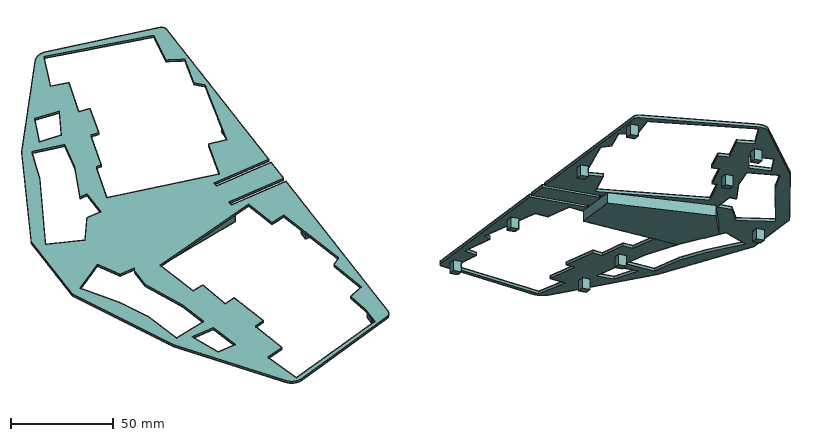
import cadquery as cq

plate_thickness = 1.5
plate_half_depth = 63.5
shoulder_x = 109.2
waist_x = 125.0
waist_y = 0.5
hip_x = 73.5
hip_y = -37.7
toe_x = 19.8
shoulder_radius = 3.0
waist_radius = 7.5

slot_offset = 7.2
slot_width = 2.2
slot_end_y = 32.8

drop = 5.5

block_back_y = 32.0
block_back_half_width = 13.5
block_side_y = -22.8
block_side_half_width = 21.3
block_point_y = -35.0

foot_side = 4.2
foot_centers = [
    (-98.0, 59.8), (-38.7, 57.8), (38.5, 57.8), (102.0, 57.8),
    (-95.0, -8.7), (-58.3, -11.0), (59.8, -11.0), (95.5, -8.7),
    (-0.5, -56.0),
]

left_main_window = [
    (-106.7, 56.0), (-89.8, 53.0), (-85.5, 61.3), (-70.0, 57.3), (-66.0, 61.3), (-29.8, 52.4),
    (-31.8, 43.2), (-12.2, 38.0), (-26.3, -17.0), (-46.5, -11.5), (-46.2, -8.7), (-65.8, -3.2),
    (-65.0, 1.0), (-81.0, 5.2), (-82.0, -0.5), (-100.7, 5.0), (-103.2, -4.0), (-121.5, 3.0),
]
right_main_window = [
    (12.2, 40.2), (28.3, 44.0), (27.0, 51.4), (64.5, 60.3), (67.2, 56.0), (86.5, 60.3),
    (89.3, 52.5), (100.5, 54.5), (109.5, 54.5), (122.0, 3.0), (103.5, -2.2), (101.5, 7.0),
    (82.9, 2.7), (81.6, 8.0), (61.5, 3.2), (62.8, -2.5), (46.6, -5.7), (47.6, -11.7), (25.0, -17.0),
]
left_small_window = [(-86.8, -8.7), (-73.0, -15.6), (-74.5, -27.0), (-88.8, -21.3)]
right_small_window = [(73.5, -15.5), (88.3, -11.7), (88.3, -21.3), (73.5, -27.3)]
left_thumb_window = [
    (-66.7, -17.4), (-51.4, -20.5), (-33.2, -28.3), (-33.2, -24.3), (-19.8, -24.3),
    (-19.8, -32.3), (-7.7, -40.5), (-15.0, -58.3), (-53.5, -39.0), (-70.7, -33.5),
]
right_thumb_window = [
    (20.3, -28.8), (21.8, -29.8), (32.3, -29.8), (53.0, -20.8), (67.5, -17.4), (70.2, -34.2),
    (51.4, -39.0), (36.2, -46.5), (18.4, -58.3), (9.2, -43.2), (20.3, -37.0),
]
windows = [
    left_main_window, right_main_window,
    left_small_window, right_small_window,
    left_thumb_window, right_thumb_window,
]


def prism(corners, height):
    """Straight-sided solid standing on Z = 0; a negative height hangs below it."""
    return cq.Workplane("XY").polyline(corners).close().extrude(height)


def mirrored_outline(right_half):
    """Closed outline from its right half, listed from back to front."""
    left_half = [(-x, y) for x, y in reversed(right_half) if x > 0]
    return right_half + left_half


def make_plate():
    right_half = [
        (shoulder_x, plate_half_depth),
        (waist_x, waist_y),
        (hip_x, hip_y),
        (toe_x, -plate_half_depth),
    ]
    plate = prism(mirrored_outline(right_half), plate_thickness)
    for side in (-1, 1):
        shoulder = cq.selectors.NearestToPointSelector(
            (side * shoulder_x, plate_half_depth, plate_thickness / 2))
        plate = plate.edges("|Z").edges(shoulder).fillet(shoulder_radius)
        waist = cq.selectors.NearestToPointSelector((side * waist_x, waist_y, plate_thickness / 2))
        plate = plate.edges("|Z").edges(waist).fillet(waist_radius)
    return plate


def make_slots():
    slot_length = plate_half_depth - slot_end_y
    return (
        cq.Workplane("XY")
        .pushPoints([(side * slot_offset, slot_end_y + slot_length / 2) for side in (-1, 1)])
        .rect(slot_width, slot_length)
        .extrude(plate_thickness)
    )


def make_block():
    right_half = [
        (block_back_half_width, block_back_y),
        (block_side_half_width, block_side_y),
        (0, block_point_y),
    ]
    return prism(mirrored_outline(right_half), -drop)


def make_feet():
    return cq.Workplane("XY").pushPoints(foot_centers).rect(foot_side, foot_side).extrude(-drop)


plate = make_plate().cut(make_slots())
for window in windows:
    plate = plate.cut(prism(window, plate_thickness))

result = plate.union(make_block()).union(make_feet())